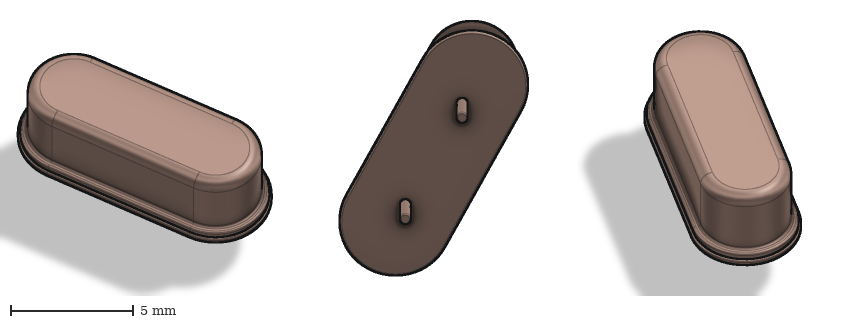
import cadquery as cq

overall_length = 11.2
overall_width = 4.6
overall_height = 5.75
body_height = 3.5
round_radius = 0.1
can_top_radius = 0.5
pin_diameter = 0.46
pin_spacing = 4.9
pin_tip_radius = 0.05

core_length = overall_length - overall_width
flange_height = 3 * round_radius
shoulder_height = 3 * round_radius
shoulder_top = flange_height + shoulder_height
shoulder_width = overall_width - 2 * round_radius
can_width = overall_width - 8 * round_radius
pin_length = overall_height - body_height


def obround(width, height):
    """Upright obround prism on the base plane, its end arcs centred on the core ends."""
    return cq.Workplane("XY").slot2D(core_length + width, width).extrude(height)


def make_flange():
    """Widest tier, rounded along its lower and upper rims."""
    return obround(overall_width, flange_height).faces("<Z or >Z").edges().fillet(round_radius)


def make_shoulder_and_can():
    """Round-topped can on a rounded shoulder, with a concave round at the foot of the can."""
    shoulder = obround(shoulder_width, shoulder_top).faces(">Z").edges().fillet(round_radius)
    can = obround(can_width, body_height).faces(">Z").edges().fillet(can_top_radius)
    foot_edge = cq.selectors.NearestToPointSelector((0, can_width / 2, shoulder_top))
    return shoulder.union(can).edges(foot_edge).fillet(round_radius)


def make_pin(x):
    """Round lead below the flange, rounded at its tip."""
    pin = cq.Workplane("XY").center(x, 0).circle(pin_diameter / 2).extrude(-pin_length)
    return pin.faces("<Z").edges().fillet(pin_tip_radius)


result = make_flange().union(make_shoulder_and_can())
for side in (-1, 1):
    result = result.union(make_pin(side * pin_spacing / 2))